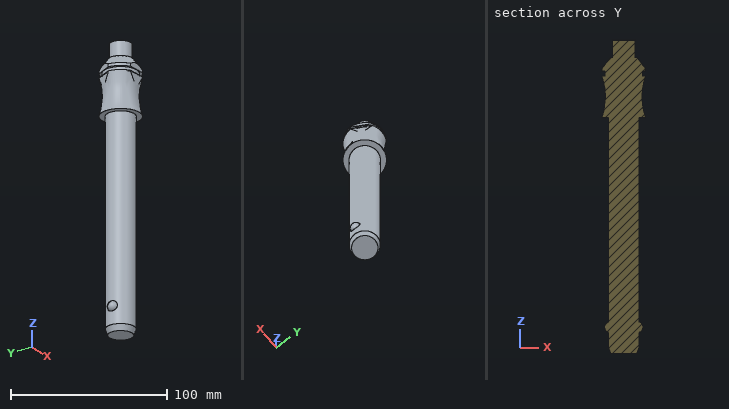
import cadquery as cq

total_length = 200.5
shank_radius = 10.0
tip_chamfer_height = 4.2
tip_radius = 8.5

grip_radius = 14.0
waist_radius = 11.8
grip_bottom = 150.8
flare_top = 177.7
lip_height = 0.6
waist_height = (grip_bottom + flare_top) / 2

groove_radius = 12.0
groove_top = 180.5
band_top = 182.5
cone_top = 189.5
cone_top_radius = 8.6

button_radius = 7.5

flat_count = 3
flat_distance = 12.2
first_flat_angle = -90.0
cutter_size = 4 * grip_radius

ball_radius = 3.8
ball_height = 17.0
ball_offset = 8.6


def flare_arc_midpoint(end_height):
    """Return a point on the flare arc, which is vertical where it meets the waist."""
    rise = end_height - waist_height
    spread = grip_radius - waist_radius
    arc_radius = (rise**2 + spread**2) / (2 * spread)
    half_rise = rise / 2
    drop = arc_radius - (arc_radius**2 - half_rise**2) ** 0.5
    return (waist_radius + drop, waist_height + half_rise)


def turned_body():
    """Revolve the stepped shank, waisted sleeve, head and button around Z."""
    lower_flare = grip_bottom + lip_height
    upper_flare = flare_top - lip_height
    return (
        cq.Workplane("XZ")
        .lineTo(tip_radius, 0)
        .lineTo(shank_radius, tip_chamfer_height)
        .lineTo(shank_radius, grip_bottom)
        .lineTo(grip_radius, grip_bottom)
        .lineTo(grip_radius, lower_flare)
        .threePointArc(flare_arc_midpoint(lower_flare), (waist_radius, waist_height))
        .threePointArc(flare_arc_midpoint(upper_flare), (grip_radius, upper_flare))
        .lineTo(grip_radius, flare_top)
        .lineTo(groove_radius, flare_top)
        .lineTo(groove_radius, groove_top)
        .lineTo(grip_radius, groove_top)
        .lineTo(grip_radius, band_top)
        .lineTo(cone_top_radius, cone_top)
        .lineTo(button_radius, cone_top)
        .lineTo(button_radius, total_length)
        .lineTo(0, total_length)
        .close()
        .revolve(360, (0, 0, 0), (0, 1, 0))
    )


def flat_cutter(angle):
    """Block that trims everything beyond the flat, from the waist upwards."""
    return (
        cq.Workplane("XY", origin=(0, 0, waist_height))
        .center(flat_distance + cutter_size / 2, 0)
        .rect(cutter_size, cutter_size)
        .extrude(total_length - waist_height)
        .rotate((0, 0, 0), (0, 0, 1), angle)
    )


def locking_ball(side):
    """Ball standing partly out of the shank on the +X or -X side."""
    return cq.Workplane("XY").sphere(ball_radius).translate((side * ball_offset, 0, ball_height))


result = turned_body()
for index in range(flat_count):
    result = result.cut(flat_cutter(first_flat_angle + index * 360 / flat_count))
for side in (-1, 1):
    result = result.union(locking_ball(side))